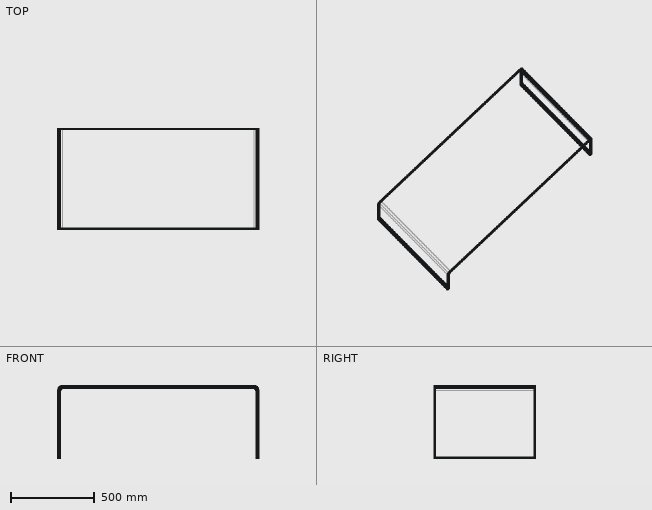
import cadquery as cq

length = 1200.0
depth = 600.0
height = 430.0

thickness = 12.0
outer_bend_radius = 25.0
inner_bend_radius = outer_bend_radius - thickness


def rounded_block(block_length, block_height, corner_radius):
    """Block standing on Z = 0 with its two top edges along Y rounded."""
    block = cq.Workplane("XY").box(block_length, depth, block_height, centered=(True, True, False))
    return block.edges("|Y and >Z").fillet(corner_radius)


outside = rounded_block(length, height, outer_bend_radius)
inside = rounded_block(length - 2 * thickness, height - thickness, inner_bend_radius)

result = outside.cut(inside)